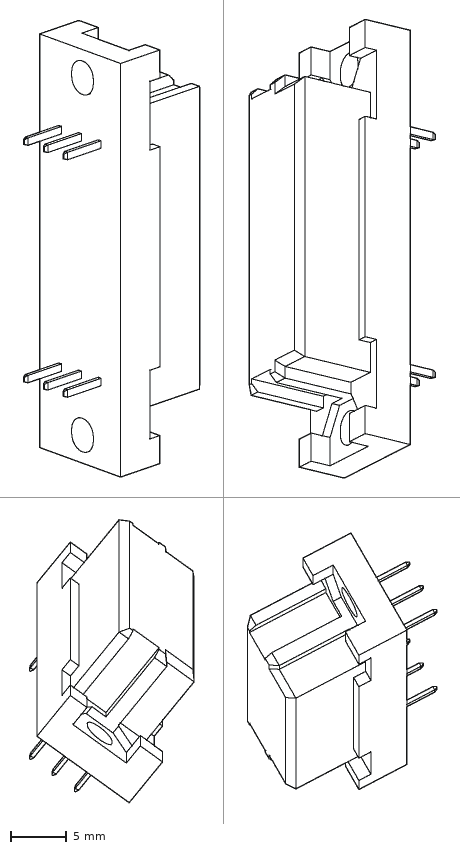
import cadquery as cq
import math


base_length = 39.9
base_width = 10.5
base_depth = 4.95
seat_depth = 3.7
ear_length = 2.7
middle_length = 21.23

housing_width = 8.55
housing_length = 29.2
housing_front = 11.57
housing_chamfer = 0.68
step_height = 1.1
step_x = -1.15

hole_x = 0.3
hole_width = 2.8
hole_length = 3.25
nut_diameter = 6.05
nut_floor = 2.87
nut_flat_half = nut_diameter / 2 * math.sqrt(3) / 2
hole_z = housing_length / 2 + nut_flat_half

key_left = 0.25
key_right = 3.2

pin_pitch = 2.55
pin_row_z = 11.45
pin_width = 0.35
pin_height = 0.7
pin_length = 4.55
pin_root = 0.4
pin_tip_side = 0.1
pin_tip_length = 0.3


def box(x0, x1, y0, y1, z0, z1):
    return cq.Workplane("XY").box(x1 - x0, y1 - y0, z1 - z0, centered=False).translate((x0, y0, z0))


def on_both_ends(upper):
    return upper.union(upper.mirror("XY"))


def make_base():
    half_width = base_width / 2
    half_length = base_length / 2
    body = box(-half_width, half_width, 0, base_depth, -half_length, half_length)
    seat = box(-half_width, half_width, seat_depth, base_depth, middle_length / 2, half_length - ear_length)
    return body.cut(on_both_ends(seat))


def make_nut_cutter():
    half_flat = nut_diameter / 4
    half_corner = nut_diameter / 2
    hexagon_bottom = hole_z - nut_flat_half
    pocket = (
        cq.Workplane("XZ", origin=(0, nut_floor, 0))
        .moveTo(hole_x - half_flat, hexagon_bottom)
        .lineTo(hole_x + half_flat, hexagon_bottom)
        .lineTo(hole_x + half_corner, hole_z)
        .lineTo(hole_x + half_corner, base_length / 2)
        .lineTo(hole_x - half_corner, base_length / 2)
        .lineTo(hole_x - half_corner, hole_z)
        .close()
        .extrude(nut_floor - base_depth)
    )
    hole = (
        cq.Workplane("XZ")
        .center(hole_x, hole_z)
        .slot2D(hole_length, hole_width, 90)
        .extrude(-base_depth)
    )
    return pocket.union(hole)


def make_housing():
    half_width = housing_width / 2
    half_length = housing_length / 2
    low_end = half_length - step_height
    body = (
        cq.Workplane("XZ", origin=(0, seat_depth, 0))
        .moveTo(-half_width, -low_end)
        .lineTo(step_x, -low_end)
        .lineTo(step_x, -half_length)
        .lineTo(half_width, -half_length)
        .lineTo(half_width, half_length)
        .lineTo(step_x, half_length)
        .lineTo(step_x, low_end)
        .lineTo(-half_width, low_end)
        .close()
        .extrude(seat_depth - housing_front)
        .faces(">Y")
        .chamfer(housing_chamfer)
    )
    keyway = box(key_left, key_right, seat_depth, housing_front, low_end, half_length)
    return body.cut(on_both_ends(keyway))


def make_pin(x, z):
    straight_end = pin_length - pin_tip_length
    shank = (
        cq.Workplane("XZ", origin=(x, pin_root, z))
        .rect(pin_width, pin_height)
        .extrude(pin_root + straight_end)
    )
    tip = (
        cq.Workplane("XZ", origin=(x, -straight_end, z))
        .rect(pin_width, pin_height)
        .workplane(offset=pin_tip_length)
        .rect(pin_width - 2 * pin_tip_side, pin_height - 2 * pin_tip_side)
        .loft(ruled=True)
    )
    return shank.union(tip)


result = make_base().cut(on_both_ends(make_nut_cutter())).union(make_housing())
for row_z in (-pin_row_z, pin_row_z):
    for column in (-1, 0, 1):
        result = result.union(make_pin(column * pin_pitch, row_z))